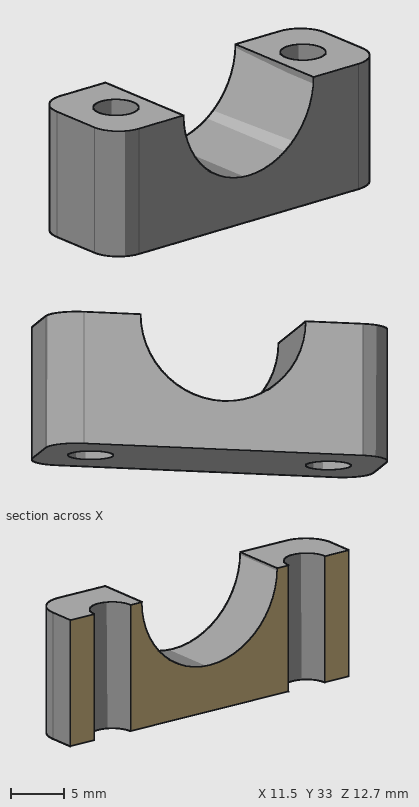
import cadquery as cq

width = 11.5
length = 33.0
height = 12.65
corner_radius = 3.0
saddle_radius = 8.0
hole_diameter = 4.3
hole_spacing = 23.0

block = (
    cq.Workplane("XY")
    .box(width, length, height, centered=(True, True, False))
    .edges("|Z")
    .fillet(corner_radius)
)

saddle = (
    cq.Workplane("YZ", origin=(-width / 2, 0, 0))
    .center(0, height)
    .circle(saddle_radius)
    .extrude(width)
)

bolt_holes = (
    cq.Workplane("XY")
    .pushPoints([(0, -hole_spacing / 2), (0, hole_spacing / 2)])
    .circle(hole_diameter / 2)
    .extrude(height)
)

result = block.cut(saddle).cut(bolt_holes)